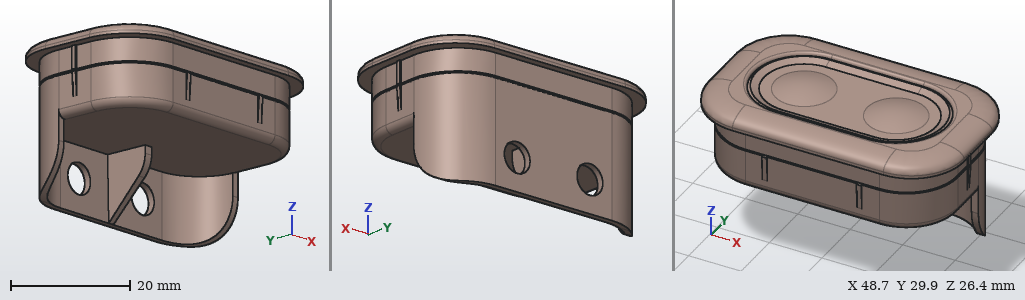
import cadquery as cq
import math

HOUSING_BOTTOM = 12.0
HOUSING_TOP = 19.4
SKIRT_BOTTOM = 19.67
FLANGE_BOTTOM = 23.8
RIM_TOP = 24.45
COVER_TOP = 26.4
BUTTON_FLOOR = 25.4
BUTTON_TOP = 26.0

FLANGE_LENGTH = 48.7
FLANGE_WIDTH = 29.9
FLANGE_CORNER = 10.0
CROWN_WIDTH = 4.6
SCRAP_MARGIN = 0.5

BODY_LENGTH = 45.0
BODY_WIDTH = 26.75
BODY_CORNER = 9.75
GROOVE_DEPTH = 0.3
HOUSING_FILLET = 1.45

TONGUE_THICKNESS = 1.3
TONGUE_EDGE_RADIUS = 8.0
HOLE_DIAMETER = 5.65
HOLE_OFFSET = 8.0
HOLE_LEVEL = 6.2
TONGUE_FRONT = BODY_WIDTH / 2 - BODY_CORNER
TONGUE_INNER = BODY_WIDTH / 2 - TONGUE_THICKNESS

GUSSET_TOP_WIDTH = 1.7
GUSSET_TIP_WIDTH = 1.15
GUSSET_BEND_TOP = 10.55
GUSSET_SLOPE = math.radians(45)

RIB_HEIGHT = 0.3
RIB_ROOT = 0.3
FRONT_RIB_WIDTH = 0.93
FRONT_RIB_OFFSET = 9.0
FRONT_RIB_BOTTOM = 14.65
END_RIB_WIDTH = 0.8
END_RIB_BOTTOM = 15.05

OVAL_SPACING = 17.55
BUTTON_RADIUS = 9.55
BUTTON_EDGE_FILLET = 0.5
SEAT_EDGE_FILLET = 0.65
DISH_TOP_RADIUS = 9.0
DISH_FLOOR_RADIUS = 7.55
DOME_RADIUS = 5.5
DOME_HEIGHT = 0.95


def rounded_block(length, width, corner, bottom, top):
    """Rectangular block with rounded vertical edges, centred on the Z axis."""
    block = cq.Workplane("XY").workplane(offset=bottom).rect(length, width).extrude(top - bottom)
    return block.edges("|Z").fillet(corner)


def oval_block(radius, bottom, top):
    """Block with two half-round ends centred on the dome positions."""
    plane = cq.Workplane("XY").workplane(offset=bottom)
    return plane.slot2D(OVAL_SPACING + 2 * radius, 2 * radius).extrude(top - bottom)


def end_rib(side, top_height, bottom_height, bottom, top):
    """Rib on the middle of one end wall, its height changing from bottom to top."""
    wall = BODY_LENGTH / 2
    root = wall - RIB_ROOT
    points = [(root, bottom), (wall + bottom_height, bottom), (wall + top_height, top), (root, top)]
    profile = cq.Workplane("XZ").polyline([(side * x, z) for x, z in points]).close()
    return profile.extrude(END_RIB_WIDTH / 2, both=True)


def crown_scrap():
    """Ring of material outside the curved upper edge of the flange."""
    outer = FLANGE_LENGTH / 2
    inner = outer - CROWN_WIDTH
    profile = cq.Workplane("XZ").moveTo(outer, RIM_TOP)
    profile = profile.ellipseArc(CROWN_WIDTH, COVER_TOP - RIM_TOP, 0, 90, startAtCurrent=True)
    profile = profile.vLine(SCRAP_MARGIN).hLineTo(outer + SCRAP_MARGIN).vLineTo(RIM_TOP).close()
    path = rounded_block(FLANGE_LENGTH, FLANGE_WIDTH, FLANGE_CORNER, RIM_TOP, COVER_TOP).faces("<Z").wires()
    return profile.sweep(path.val())


def make_cover():
    flange = rounded_block(FLANGE_LENGTH, FLANGE_WIDTH, FLANGE_CORNER, FLANGE_BOTTOM, COVER_TOP)
    flange = flange.cut(crown_scrap())
    seat = oval_block(BUTTON_RADIUS, FLANGE_BOTTOM, COVER_TOP)
    flange = flange.cut(seat)
    seat_length = OVAL_SPACING + 2 * BUTTON_RADIUS
    mouth = cq.selectors.BoxSelector(
        (-seat_length / 2, -BUTTON_RADIUS, BUTTON_TOP),
        (seat_length / 2, BUTTON_RADIUS, COVER_TOP + SCRAP_MARGIN),
        boundingbox=True,
    )
    flange = flange.edges(mouth).fillet(SEAT_EDGE_FILLET)
    skirt = rounded_block(BODY_LENGTH, BODY_WIDTH, BODY_CORNER, SKIRT_BOTTOM, FLANGE_BOTTOM)
    neck = rounded_block(
        BODY_LENGTH - 2 * GROOVE_DEPTH,
        BODY_WIDTH - 2 * GROOVE_DEPTH,
        BODY_CORNER - GROOVE_DEPTH,
        HOUSING_TOP,
        SKIRT_BOTTOM,
    )
    cover = flange.union(skirt).union(neck)
    for side in (-1, 1):
        cover = cover.union(end_rib(side, RIB_HEIGHT, RIB_HEIGHT, SKIRT_BOTTOM, FLANGE_BOTTOM))
    return cover


def make_tongue():
    """Curved wall continuing the back of the housing downwards."""
    outer = rounded_block(BODY_LENGTH, BODY_WIDTH, BODY_CORNER, 0, HOUSING_TOP)
    inner = rounded_block(
        BODY_LENGTH - 2 * TONGUE_THICKNESS,
        BODY_WIDTH - 2 * TONGUE_THICKNESS,
        BODY_CORNER - TONGUE_THICKNESS,
        0,
        HOUSING_BOTTOM,
    )
    back = BODY_WIDTH / 2
    side = cq.Workplane("YZ").moveTo(TONGUE_FRONT, HOUSING_TOP).lineTo(TONGUE_FRONT, TONGUE_EDGE_RADIUS)
    side = side.radiusArc((TONGUE_FRONT + TONGUE_EDGE_RADIUS, 0), -TONGUE_EDGE_RADIUS)
    side = side.lineTo(back, 0).lineTo(back, HOUSING_TOP).close().extrude(BODY_LENGTH / 2, both=True)
    holes = cq.Workplane("XZ").pushPoints([(-HOLE_OFFSET, HOLE_LEVEL), (HOLE_OFFSET, HOLE_LEVEL)])
    holes = holes.circle(HOLE_DIAMETER / 2).extrude(-BODY_WIDTH)
    return outer.cut(inner).intersect(side).cut(holes)


def make_gusset():
    """Tapered web joining the tongue to the underside of the housing."""
    depth = TONGUE_INNER - TONGUE_FRONT
    sine = math.sin(GUSSET_SLOPE)
    cosine = math.cos(GUSSET_SLOPE)
    bend_radius = (GUSSET_BEND_TOP * sine - depth * cosine) / (1 - cosine)
    bend_end = (TONGUE_FRONT + bend_radius * (1 - cosine), GUSSET_BEND_TOP - bend_radius * sine)
    side = cq.Workplane("YZ").moveTo(TONGUE_FRONT, HOUSING_BOTTOM).lineTo(TONGUE_FRONT, GUSSET_BEND_TOP)
    side = side.radiusArc(bend_end, -bend_radius).lineTo(TONGUE_INNER, 0)
    side = side.lineTo(TONGUE_INNER, HOUSING_BOTTOM).close().extrude(GUSSET_TOP_WIDTH, both=True)
    half_top = GUSSET_TOP_WIDTH / 2
    half_tip = GUSSET_TIP_WIDTH / 2
    front = cq.Workplane("XZ").polyline(
        [(-half_tip, 0), (half_tip, 0), (half_top, HOUSING_BOTTOM), (-half_top, HOUSING_BOTTOM)])
    return front.close().extrude(-BODY_WIDTH).intersect(side)


def front_rib(x):
    """Wedge on the front wall, fading out towards its lower end."""
    wall = -BODY_WIDTH / 2
    root = wall + RIB_ROOT
    tip = wall - RIB_HEIGHT
    points = [(root, HOUSING_TOP), (tip, HOUSING_TOP), (wall, FRONT_RIB_BOTTOM), (root, FRONT_RIB_BOTTOM)]
    rib = cq.Workplane("YZ").polyline(points).close().extrude(FRONT_RIB_WIDTH / 2, both=True)
    return rib.translate((x, 0, 0))


def make_housing():
    housing = rounded_block(BODY_LENGTH, BODY_WIDTH, BODY_CORNER, HOUSING_BOTTOM, HOUSING_TOP)
    housing = housing.faces("<Z").edges().fillet(HOUSING_FILLET)
    housing = housing.union(make_tongue()).union(make_gusset())
    for side in (-1, 1):
        housing = housing.union(end_rib(side, RIB_HEIGHT, 0, END_RIB_BOTTOM, HOUSING_TOP))
        housing = housing.union(front_rib(side * FRONT_RIB_OFFSET))
    return housing


def make_dome(x):
    """Shallow spherical cap on the floor of the dish."""
    ball_radius = (DOME_RADIUS**2 + DOME_HEIGHT**2) / (2 * DOME_HEIGHT)
    ball = cq.Workplane("XY").sphere(ball_radius)
    ball = ball.translate((x, 0, BUTTON_FLOOR + DOME_HEIGHT - ball_radius))
    return ball.intersect(oval_block(BUTTON_RADIUS, FLANGE_BOTTOM, COVER_TOP))


def make_button():
    button = oval_block(BUTTON_RADIUS, FLANGE_BOTTOM, BUTTON_TOP)
    button = button.faces(">Z").edges().fillet(BUTTON_EDGE_FILLET)
    dish_depth = BUTTON_TOP - BUTTON_FLOOR
    dish_taper = math.degrees(math.atan2(DISH_TOP_RADIUS - DISH_FLOOR_RADIUS, dish_depth))
    dish = cq.Workplane("XY").workplane(offset=BUTTON_TOP)
    dish = dish.slot2D(OVAL_SPACING + 2 * DISH_TOP_RADIUS, 2 * DISH_TOP_RADIUS)
    dish = dish.extrude(-dish_depth, taper=dish_taper)
    button = button.cut(dish)
    for side in (-1, 1):
        button = button.union(make_dome(side * OVAL_SPACING / 2))
    return button


cover = make_cover()
housing = make_housing()
button = make_button()
result = cq.Compound.makeCompound([body.solids().val() for body in (cover, housing, button)])